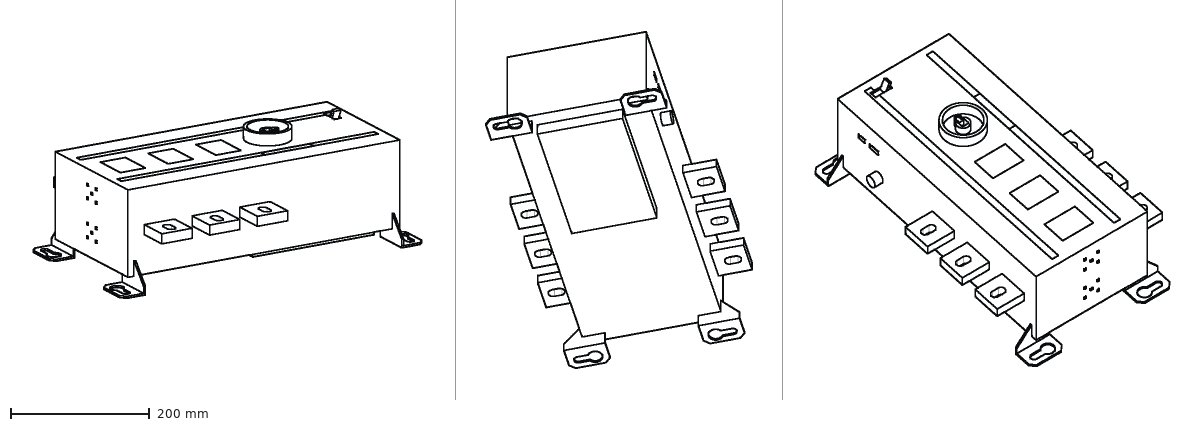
import cadquery as cq
import math

TOTAL_WIDTH = 306.0
TOTAL_LENGTH = 506.0
TOTAL_HEIGHT = 172.0

BOX_WIDTH = 206.5
BOX_LENGTH = 455.5
BOX_BOTTOM = 21.0
BOX_TOP = 154.0

BASE_WIDTH = 126.5
BASE_REAR = 208.0
BASE_FRONT = 5.0
BASE_BOTTOM = 2.0

POLE_PITCH = 80.0
REAR_POLE_Y = -15.0
POLE_YS = [REAR_POLE_Y - i * POLE_PITCH for i in range(3)]
TERMINAL_WIDTH = 50.5
TERMINAL_THICKNESS = 15.0
TERMINAL_Z = 89.0
TERMINAL_SLOT_LENGTH = 24.5
TERMINAL_SLOT_WIDTH = 13.0
TERMINAL_SLOT_X = 131.0

LID_RECESS = 0.25
LABEL_LENGTH = 56.5
LABEL_WIDTH = 42.0
RAIL_INNER_X = 51.5
RAIL_WIDTH = 11.5
RAIL_X = RAIL_INNER_X + RAIL_WIDTH / 2
RAIL_LENGTH = 430.0
RAIL_STEP_REAR = 107.5
RAIL_STEP_FRONT = 26.0

FOOT_THICKNESS = 3.0
FOOT_INNER_X = 69.5
FOOT_OUTER_X = 130.5
FOOT_INNER_Y = 214.5
FOOT_CHAMFER = 8.0
GUSSET_LOW_Z = 13.0
GUSSET_HIGH_Z = 44.5
KEYHOLE_X = 89.5
KEYHOLE_Y = 238.0
KEYHOLE_RADIUS = 10.5
KEYHOLE_SLOT_WIDTH = 11.5
KEYHOLE_SLOT_END_X = 121.0

DIAL_Y = 67.5
COLLAR_RADIUS = 35.0
COLLAR_INNER_RADIUS = 30.0
HUB_RADIUS = 11.0
HUB_HEIGHT = 13.0
POINTER_OFFSET = 12.0
POINTER_RADIUS = 5.5
POINTER_SLOT_RADIUS = 4.0
POINTER_SLOT_DEPTH = 3.0
DRIVE_SQUARE = 11.5

TAB_Y = 201.5
TAB_WIDTH = 11.5
POCKET_X_MIN = -58.5
POCKET_X_MAX = -28.0
POCKET_DEPTH = 4.0
TAB_TOP = 167.0
TAB_FOOT_X = -41.0
TAB_LEAN = 7.5
TAB_THICKNESS = 4.5

SHAFT_RADIUS = 9.5
SHAFT_Y = 133.0
SHAFT_Z = 67.5
SHAFT_LENGTH = 14.5
WINDOW_Z = 115.5
WINDOW_HEIGHT = 7.0
WINDOW_DEPTH = 5.0
WINDOW_SPANS = [(165.0, 180.0), (134.5, 155.0)]

HOLE_GROUP_ZS = [59.5, 119.0]
HOLE_SIZE = 3.5
HOLE_DEPTH = 3.0
HOLE_SPACING_X = 24.5
HOLE_SPACING_Z = 20.5
MIDDLE_HOLE_WIDTH = 4.5
MIDDLE_HOLE_HEIGHT = 3.0


def block(x0, x1, y0, y1, z0, z1):
    """Axis-aligned box between two corners."""
    return cq.Workplane("XY").box(x1 - x0, y1 - y0, z1 - z0, centered=False).translate((x0, y0, z0))


def cylinder(radius, y, z0, z1):
    """Upright cylinder on the YZ mid-plane."""
    return cq.Workplane("XY", origin=(0, y, z0)).circle(radius).extrude(z1 - z0)


def lid_recess(x, y, width, length, depth=LID_RECESS):
    """Cutter for a rectangular recess in the lid."""
    return cq.Workplane("XY", origin=(x, y, BOX_TOP - depth)).rect(width, length).extrude(depth)


def terminals():
    """Terminal bars through the housing, slotted at both ends."""
    bars = cq.Workplane("XY", origin=(0, 0, TERMINAL_Z - TERMINAL_THICKNESS / 2))
    bars = bars.pushPoints([(0, y) for y in POLE_YS]).rect(TOTAL_WIDTH, TERMINAL_WIDTH)
    bars = bars.extrude(TERMINAL_THICKNESS)
    slot_places = [(side * TERMINAL_SLOT_X, y) for side in (-1, 1) for y in POLE_YS]
    slots = cq.Workplane("XY").pushPoints(slot_places)
    slots = slots.slot2D(TERMINAL_SLOT_LENGTH, TERMINAL_SLOT_WIDTH).extrude(TOTAL_HEIGHT)
    return bars.cut(slots)


def foot():
    """Angle bracket at the +X +Y corner: flat foot with a keyhole and an upright gusset."""
    plate = block(FOOT_INNER_X, FOOT_OUTER_X, FOOT_INNER_Y, TOTAL_LENGTH / 2, 0, FOOT_THICKNESS)
    plate = plate.edges("|Z and >Y").chamfer(FOOT_CHAMFER)

    box_side = BOX_WIDTH / 2
    gusset = (
        cq.Workplane("XZ", origin=(0, FOOT_INNER_Y, 0))
        .moveTo(FOOT_INNER_X, 0)
        .lineTo(FOOT_OUTER_X, 0)
        .lineTo(FOOT_OUTER_X, GUSSET_LOW_Z)
        .lineTo(box_side, GUSSET_HIGH_Z)
        .lineTo(FOOT_INNER_X, GUSSET_HIGH_Z)
        .close()
        .extrude(-FOOT_THICKNESS)
    )

    slot_end_x = KEYHOLE_SLOT_END_X - KEYHOLE_SLOT_WIDTH / 2
    keyhole = (
        cq.Workplane("XY")
        .center(KEYHOLE_X, KEYHOLE_Y)
        .circle(KEYHOLE_RADIUS)
        .extrude(FOOT_THICKNESS)
    )
    slot = (
        cq.Workplane("XY")
        .center((KEYHOLE_X + slot_end_x) / 2, KEYHOLE_Y)
        .slot2D(slot_end_x - KEYHOLE_X + KEYHOLE_SLOT_WIDTH, KEYHOLE_SLOT_WIDTH)
        .extrude(FOOT_THICKNESS)
    )
    return plate.union(gusset).cut(keyhole).cut(slot)


def feet():
    """The bracket mirrored to all four corners."""
    right_rear = foot()
    rear = right_rear.union(right_rear.mirror("YZ"))
    return rear.union(rear.mirror("XZ"))


def dial():
    """Open collar with a hub, its pointer lobe, a square socket and a slot in the pointer."""
    collar = cylinder(COLLAR_RADIUS, DIAL_Y, BOX_TOP, TOTAL_HEIGHT)
    collar = collar.cut(cylinder(COLLAR_INNER_RADIUS, DIAL_Y, BOX_TOP, TOTAL_HEIGHT))

    hub_top = BOX_TOP + HUB_HEIGHT
    pointer_y = DIAL_Y + POINTER_OFFSET
    hub = cylinder(HUB_RADIUS, DIAL_Y, BOX_TOP, hub_top)
    hub = hub.union(cylinder(POINTER_RADIUS, pointer_y, BOX_TOP, hub_top))

    half_square = DRIVE_SQUARE / 2
    socket = block(-half_square, half_square, DIAL_Y - half_square, DIAL_Y + half_square, BOX_TOP, hub_top)
    slot_floor = hub_top - POINTER_SLOT_DEPTH
    slot = cylinder(POINTER_SLOT_RADIUS, pointer_y, slot_floor, hub_top)
    slot = slot.union(
        block(-POINTER_SLOT_RADIUS, POINTER_SLOT_RADIUS, DIAL_Y, pointer_y, slot_floor, hub_top)
    )
    return collar.union(hub.cut(socket).cut(slot))


def tab_pocket():
    """Cutter for the pocket that the tab rises from."""
    return lid_recess(
        (POCKET_X_MIN + POCKET_X_MAX) / 2, TAB_Y, POCKET_X_MAX - POCKET_X_MIN, TAB_WIDTH, POCKET_DEPTH
    )


def tab():
    """Flat square-ended tab leaning toward +X from the pocket floor."""
    pocket_floor = BOX_TOP - POCKET_DEPTH
    lean_angle = math.atan2(TAB_LEAN, TAB_TOP - pocket_floor)
    return (
        cq.Workplane("XZ", origin=(0, TAB_Y, 0))
        .moveTo(TAB_FOOT_X, pocket_floor)
        .line(TAB_LEAN, TAB_TOP - pocket_floor)
        .line(TAB_THICKNESS * math.cos(lean_angle), -TAB_THICKNESS * math.sin(lean_angle))
        .lineTo(TAB_FOOT_X + TAB_THICKNESS / math.cos(lean_angle), pocket_floor)
        .close()
        .extrude(TAB_WIDTH / 2, both=True)
    )


def shaft():
    """Round stub on the -X side."""
    side = cq.Workplane("YZ", origin=(-BOX_WIDTH / 2, SHAFT_Y, SHAFT_Z))
    return side.circle(SHAFT_RADIUS).extrude(-SHAFT_LENGTH)


def cut_lid(body):
    """Sink the two rails and the pole labels into the lid."""
    for side in (-1, 1):
        body = body.cut(lid_recess(side * RAIL_X, 0, RAIL_WIDTH, RAIL_LENGTH))
    step_length = RAIL_STEP_REAR - RAIL_STEP_FRONT
    step_y = (RAIL_STEP_REAR + RAIL_STEP_FRONT) / 2
    body = body.cut(lid_recess(RAIL_X, step_y, RAIL_WIDTH, step_length, 2 * LID_RECESS))
    for y in POLE_YS:
        body = body.cut(lid_recess(0, y, LABEL_LENGTH, LABEL_WIDTH))
    return body


def cut_windows(body):
    """Sink the two windows into the -X side."""
    side_x = -BOX_WIDTH / 2
    z0 = WINDOW_Z - WINDOW_HEIGHT / 2
    for y0, y1 in WINDOW_SPANS:
        body = body.cut(block(side_x, side_x + WINDOW_DEPTH, y0, y1, z0, z0 + WINDOW_HEIGHT))
    return body


def cut_front_holes(body):
    """Sink each group of four square holes around a wider middle hole into the -Y face."""
    face_y = -BOX_LENGTH / 2
    for z in HOLE_GROUP_ZS:
        front = cq.Workplane("XZ", origin=(0, face_y, z))
        corners = front.rarray(HOLE_SPACING_X, HOLE_SPACING_Z, 2, 2).rect(HOLE_SIZE, HOLE_SIZE)
        body = body.cut(corners.extrude(-HOLE_DEPTH))
        middle = front.rect(MIDDLE_HOLE_WIDTH, MIDDLE_HOLE_HEIGHT)
        body = body.cut(middle.extrude(-HOLE_DEPTH))
    return body


half_width = BOX_WIDTH / 2
half_length = BOX_LENGTH / 2
housing = block(-half_width, half_width, -half_length, half_length, BOX_BOTTOM, BOX_TOP)
base = block(-BASE_WIDTH / 2, BASE_WIDTH / 2, BASE_FRONT, BASE_REAR, BASE_BOTTOM, BOX_BOTTOM)

result = housing.union(base).union(terminals()).union(feet()).union(shaft())
result = cut_front_holes(cut_windows(cut_lid(result)))
result = result.cut(tab_pocket()).union(tab()).union(dial())